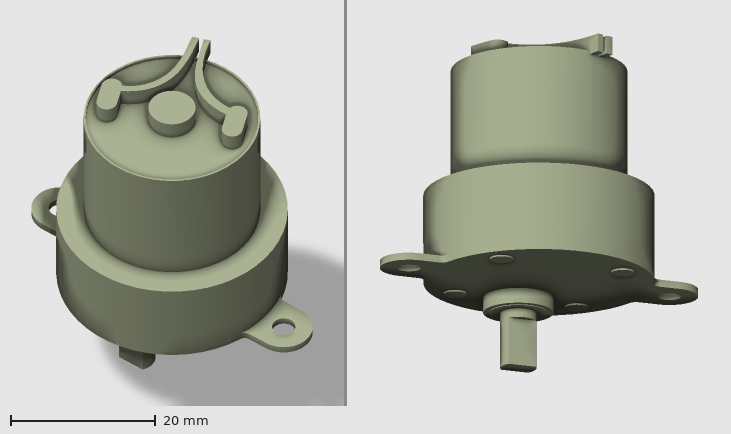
import cadquery as cq
import math

GEARBOX_DIAMETER = 32.0
GEARBOX_HEIGHT = 12.45

MOTOR_DIAMETER = 24.4
MOTOR_HEIGHT = 17.95
RIM_WIDTH = 0.3
RIM_DEPTH = 0.5
MOTOR_TOP = GEARBOX_HEIGHT + MOTOR_HEIGHT
CAP_LEVEL = MOTOR_TOP - RIM_DEPTH

CAP_FEATURE_HEIGHT = 2.55
CAP_BOSS_DIAMETER = 6.5
TERMINAL_WIDTH = 2.9
TERMINAL_LENGTH = 6.05
TERMINAL_ANGLE = -66.0
TERMINAL_CENTER = (8.5, 3.05)

RIGHT_LEAF_OUTER = [(-3.55, 13.62), (-2.8, 11.55), (-0.45, 7.75), (2.65, 5.45), (4.65, 4.85), (7.45, 4.85)]
RIGHT_LEAF_INNER = [(-4.4, 13.25), (-3.5, 11.2), (-1.67, 7.6), (0.9, 4.85), (3.8, 3.65), (7.45, 3.5)]
LEFT_LEAF_OUTER = [(-6.0, 12.7), (-4.7, 8.4), (-4.4, 4.9), (-5.55, 1.65), (-8.55, -0.9)]
LEFT_LEAF_INNER = [(-5.0, 13.0), (-3.67, 8.3), (-3.5, 4.2), (-4.45, 1.4), (-6.45, -0.9), (-7.9, -1.8)]

OVERALL_LENGTH = 46.5
EAR_WIDTH = 8.0
EAR_THICKNESS = 1.0
EAR_HOLE_DIAMETER = 3.2
EAR_FILLET = 1.0
EAR_CENTER_X = (OVERALL_LENGTH - EAR_WIDTH) / 2

SHAFT_Y = -8.0
BEARING_DIAMETER = 9.7
BEARING_HEIGHT = 2.15
BEARING_STEP_DIAMETER = 8.1
BEARING_STEP_HEIGHT = 0.1
SHAFT_DIAMETER = 5.0
SHAFT_LENGTH = 10.15
FLAT_THICKNESS = 3.0
FLAT_START = 3.5

SCREW_DIAMETER = 3.25
SCREW_HEIGHT = 0.25
SCREW_SPACING = 17.95


def cylinder(diameter, bottom, height, x=0.0, y=0.0):
    return cq.Workplane("XY", origin=(x, y, bottom)).circle(diameter / 2).extrude(height)


def make_housing():
    gearbox = cylinder(GEARBOX_DIAMETER, 0, GEARBOX_HEIGHT)
    motor = cylinder(MOTOR_DIAMETER, GEARBOX_HEIGHT, MOTOR_HEIGHT)
    rim_recess = cylinder(MOTOR_DIAMETER - 2 * RIM_WIDTH, CAP_LEVEL, RIM_DEPTH)
    return gearbox.union(motor).cut(rim_recess)


def make_ears():
    """Both ears as one bar with round ends, blended into the gearbox wall."""
    bar = cq.Workplane("XY").slot2D(OVERALL_LENGTH, EAR_WIDTH).extrude(EAR_THICKNESS)
    disc = cylinder(GEARBOX_DIAMETER, 0, EAR_THICKNESS)
    radius = GEARBOX_DIAMETER / 2
    corner_x = math.sqrt(radius**2 - (EAR_WIDTH / 2) ** 2)
    corner_points = [
        (side * corner_x, end * EAR_WIDTH / 2, EAR_THICKNESS / 2)
        for side in (-1, 1)
        for end in (-1, 1)
    ]
    plate = disc.union(bar)
    corner_edges = cq.Workplane("XY")
    for point in corner_points:
        corner_edges = corner_edges.add(plate.edges(cq.selectors.NearestToPointSelector(point)).vals())
    blended = plate.val().fillet(EAR_FILLET, corner_edges.vals())
    ears = cq.Workplane(blended)
    for side in (-1, 1):
        ears = ears.cut(cylinder(EAR_HOLE_DIAMETER, 0, EAR_THICKNESS, x=side * EAR_CENTER_X))
    return ears


def make_leaf(outer_edge, inner_edge):
    """Curved leaf between two smooth edges, each listed from its free tip to its pad."""
    return (
        cq.Workplane("XY", origin=(0, 0, CAP_LEVEL))
        .moveTo(*outer_edge[0])
        .spline(outer_edge[1:], includeCurrent=True)
        .lineTo(*inner_edge[-1])
        .spline(inner_edge[-2::-1], includeCurrent=True)
        .close()
        .extrude(CAP_FEATURE_HEIGHT)
    )


def make_pad(direction):
    """Rounded terminal pad; direction -1 gives the one diagonally opposite."""
    x, y = TERMINAL_CENTER
    return (
        cq.Workplane("XY", origin=(direction * x, direction * y, CAP_LEVEL))
        .slot2D(TERMINAL_LENGTH, TERMINAL_WIDTH, TERMINAL_ANGLE)
        .extrude(CAP_FEATURE_HEIGHT)
    )


def make_cap_features():
    boss = cylinder(CAP_BOSS_DIAMETER, CAP_LEVEL, CAP_FEATURE_HEIGHT)
    right_leaf = make_leaf(RIGHT_LEAF_OUTER, RIGHT_LEAF_INNER)
    left_leaf = make_leaf(LEFT_LEAF_OUTER, LEFT_LEAF_INNER)
    return boss.union(make_pad(1)).union(right_leaf).union(make_pad(-1)).union(left_leaf)


def make_output_shaft():
    bearing = cylinder(BEARING_DIAMETER, -BEARING_HEIGHT, BEARING_HEIGHT, y=SHAFT_Y)
    step_height = BEARING_HEIGHT + BEARING_STEP_HEIGHT
    step = cylinder(BEARING_STEP_DIAMETER, -step_height, step_height, y=SHAFT_Y)
    shaft = cylinder(SHAFT_DIAMETER, -SHAFT_LENGTH, SHAFT_LENGTH, y=SHAFT_Y)
    flat_length = SHAFT_LENGTH - FLAT_START
    flat_zone = cylinder(SHAFT_DIAMETER, -SHAFT_LENGTH, flat_length, y=SHAFT_Y)
    kept_slab = (
        cq.Workplane("XY", origin=(0, SHAFT_Y, -SHAFT_LENGTH))
        .rect(SHAFT_DIAMETER, FLAT_THICKNESS)
        .extrude(flat_length)
    )
    return bearing.union(step).union(shaft.cut(flat_zone.cut(kept_slab)))


def make_screw_heads():
    return (
        cq.Workplane("XY", origin=(0, 0, -SCREW_HEIGHT))
        .rect(SCREW_SPACING, SCREW_SPACING, forConstruction=True)
        .vertices()
        .circle(SCREW_DIAMETER / 2)
        .extrude(SCREW_HEIGHT)
    )


result = make_housing()
for feature in (make_ears(), make_cap_features(), make_output_shaft(), make_screw_heads()):
    result = result.union(feature)